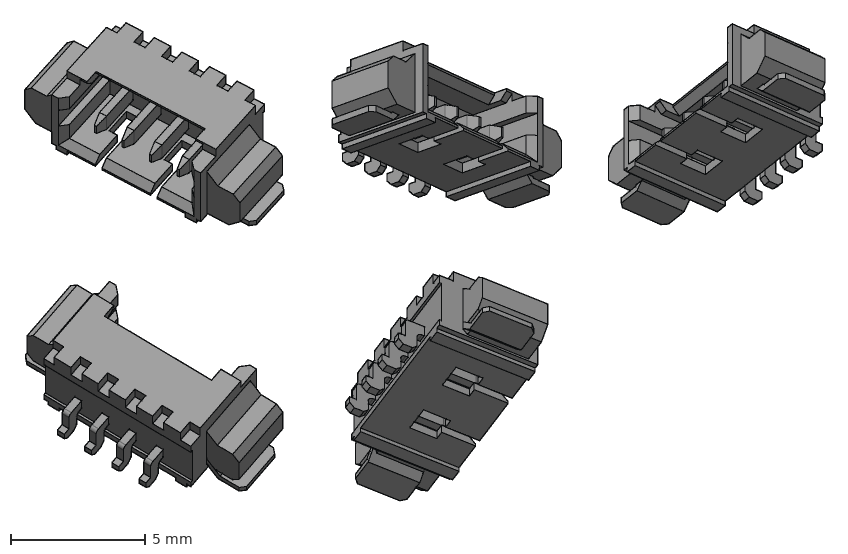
import cadquery as cq
import math


pin_count = 4
pitch = 1.25
pin_x = [(i - (pin_count - 1) / 2) * pitch for i in range(pin_count)]

housing_width = 6.75
housing_depth = 4.2
housing_bottom = 0.2
housing_top = 3.4
wall = 0.3
plate = 0.4
floor_top = housing_bottom + plate
roof_bottom = housing_top - plate
cavity_width = housing_width - 2 * wall
cavity_depth = 2.95
lead_in = 0.3

rail_width = 0.3
lower_rail_top = 1.4
upper_rail_bottom = 2.3
rail_gap = cavity_width - 2 * rail_width

roof_front = 1.0
roof_notch_front = 1.6
roof_notch_width = 4.92

floor_slot_x = [-pitch, pitch]
floor_slot_width = 0.3
floor_window_width = 1.05
floor_window_front = 1.45
floor_window_back = 2.6

back_recess = 0.1
back_recess_bottom = 0.5
back_recess_top = 2.5
notch_depth = 0.6
notch_bottom = 2.9
pin_notch_width = 0.5
corner_notch_width = 0.475

standoff_width = 0.5
standoff_x = 2.925

ear_reach = 1.5
ear_front = 0.4
ear_back = 3.2
ear_bottom = 0.3
ear_top = 2.2
ear_gusset = 0.5
ear_top_chamfer = 0.3
ear_bottom_chamfer = 0.5
ear_back_chamfer = 0.2

tab_tip_x = 5.075
tab_bend_x = 3.9
tab_thickness = 0.25
tab_front = 1.0
tab_corner = 0.2
tab_bend_angle = math.radians(45)

pin_width = 0.32
blade_bottom = 0.95
blade_top = 1.72
blade_back = (cavity_depth + housing_depth) / 2
blade_tip_y = 0.7
blade_shoulder_y = 1.2
tip_width = 0.1
tip_height = 0.4
tail_bottom = 0.9
tail_top = 1.4
leg_front = 4.4
leg_back = 4.9
foot_back = 5.2
foot_top = 0.5
foot_chamfer = 0.2
leg_outer_radius = 0.15
leg_inner_radius = 0.2

side_x = housing_width / 2


def block(x_range, y_range, z_range):
    """Box spanning the given (low, high) ranges."""
    low, high = zip(x_range, y_range, z_range)
    size = [b - a for a, b in zip(low, high)]
    return cq.Workplane("XY").box(*size, centered=False).translate(low)


def centered_block(x, width, y_range, z_range):
    """Box of the given width centered on x."""
    return block((x - width / 2, x + width / 2), y_range, z_range)


def yz_prism(points, x, width):
    """Prism with a (Y, Z) outline, centered on x."""
    return cq.Workplane("YZ").polyline(points).close().extrude(width).translate((x - width / 2, 0, 0))


def xz_prism(points, front, back):
    """Prism with an (X, Z) outline from y = front to y = back."""
    return cq.Workplane("XZ").polyline(points).close().extrude(front - back).translate((0, front, 0))


def both_sides(shape):
    """The +X shape followed by its mirror image at -X."""
    return [shape, shape.mirror("YZ")]


def make_shell():
    body = centered_block(0, housing_width, (0, housing_depth), (housing_bottom, housing_top))
    body = body.cut(centered_block(0, cavity_width, (0, cavity_depth), (floor_top, roof_bottom)))
    body = body.cut(centered_block(0, housing_width, (0, roof_front), (roof_bottom, housing_top)))
    return body.cut(centered_block(0, roof_notch_width, (0, roof_notch_front), (roof_bottom, housing_top)))


def make_rails():
    """Rails on both cavity walls, their inner front edges beveled."""
    wall_x = cavity_width / 2
    inner_x = rail_gap / 2
    outline = [(wall_x, 0), (inner_x, lead_in), (inner_x, cavity_depth), (wall_x, cavity_depth)]
    rails = []
    for low, high in [(housing_bottom, lower_rail_top), (upper_rail_bottom, roof_bottom)]:
        rail = cq.Workplane("XY").polyline(outline).close().extrude(high - low).translate((0, 0, low))
        rails += both_sides(rail)
    return rails


def make_floor_bevel():
    """Wedge removed from the front edge of the floor."""
    outline = [(0, floor_top), (lead_in, floor_top), (0, floor_top - lead_in)]
    return yz_prism(outline, 0, cavity_width)


def make_roof_bevel(front, width):
    """Wedge removed from the lower front edge of the roof."""
    outline = [(front, roof_bottom), (front + lead_in, roof_bottom), (front, roof_bottom + lead_in)]
    return yz_prism(outline, 0, width)


def make_floor_slot(x):
    z_range = (housing_bottom, floor_top)
    slot = centered_block(x, floor_slot_width, (0, floor_window_front), z_range)
    return slot.union(
        centered_block(x, floor_window_width, (floor_window_front, floor_window_back), z_range)
    )


def make_back_cuts():
    """Shallow recess over the back face, and notches along the top back edge."""
    recess_y = (housing_depth - back_recess, housing_depth)
    notch_y = (housing_depth - notch_depth, housing_depth)
    notch_z = (notch_bottom, housing_top)
    cuts = [centered_block(0, housing_width, recess_y, (back_recess_bottom, back_recess_top))]
    cuts += [centered_block(x, pin_notch_width, notch_y, notch_z) for x in pin_x]
    cuts += both_sides(block((side_x - corner_notch_width, side_x), notch_y, notch_z))
    return cuts


def make_ear():
    """Ear at +X, with a gusset up the housing wall."""
    tip_x = side_x + ear_reach
    outline = [
        (side_x, ear_bottom),
        (tip_x - ear_bottom_chamfer, ear_bottom),
        (tip_x, ear_bottom + ear_bottom_chamfer),
        (tip_x, ear_top - ear_top_chamfer),
        (tip_x - ear_top_chamfer, ear_top),
        (side_x + ear_gusset, ear_top),
        (side_x, ear_top + ear_gusset),
    ]
    ear = xz_prism(outline, ear_front, ear_back)
    back_bevel = [
        (ear_back, ear_bottom),
        (ear_back - ear_back_chamfer, ear_bottom),
        (ear_back, ear_bottom + ear_back_chamfer),
    ]
    return ear.cut(yz_prism(back_bevel, side_x + ear_reach / 2, ear_reach))


def make_tab():
    """Solder tab at +X: flat on the board, then bent up through the ear to the housing wall."""
    rise = (tab_bend_x - side_x) * math.tan(tab_bend_angle)
    upper_bend_x = tab_bend_x + tab_thickness * math.tan(tab_bend_angle / 2)
    strip_height = tab_thickness / math.cos(tab_bend_angle)
    outline = [
        (tab_tip_x, 0),
        (tab_bend_x, 0),
        (side_x, rise),
        (side_x, rise + strip_height),
        (upper_bend_x, tab_thickness),
        (tab_tip_x, tab_thickness),
    ]
    tab = xz_prism(outline, tab_front, ear_back)
    return tab.edges("|Z and >X").chamfer(tab_corner)


def make_pin(x):
    """Contact with a tapered mating blade and a tail bent down to a foot on the board."""
    tail = (
        cq.Workplane("YZ")
        .moveTo(blade_back, tail_top)
        .lineTo(leg_back - leg_outer_radius, tail_top)
        .radiusArc((leg_back, tail_top - leg_outer_radius), leg_outer_radius)
        .lineTo(leg_back, foot_top)
        .lineTo(foot_back, foot_top)
        .lineTo(foot_back, foot_chamfer)
        .lineTo(foot_back - foot_chamfer, 0)
        .lineTo(leg_front + foot_chamfer, 0)
        .lineTo(leg_front, foot_chamfer)
        .lineTo(leg_front, tail_bottom - leg_inner_radius)
        .radiusArc((leg_front - leg_inner_radius, tail_bottom), -leg_inner_radius)
        .lineTo(blade_back, tail_bottom)
        .close()
        .extrude(pin_width)
        .translate((-pin_width / 2, 0, 0))
    )
    blade = centered_block(0, pin_width, (blade_shoulder_y, blade_back), (blade_bottom, blade_top))
    tip = (
        cq.Workplane("XZ", origin=(0, blade_shoulder_y, (blade_bottom + blade_top) / 2))
        .rect(pin_width, blade_top - blade_bottom)
        .workplane(offset=blade_shoulder_y - blade_tip_y)
        .rect(tip_width, tip_height)
        .loft(ruled=True)
    )
    return blade.union(tip).union(tail).translate((x, 0, 0))


def make_housing(inserts):
    """Housing with a matching hole for every inserted body."""
    body = make_shell()
    body = body.cut(make_floor_bevel())
    for rail in make_rails():
        body = body.union(rail)
    body = body.cut(make_roof_bevel(roof_front, rail_gap))
    body = body.cut(make_roof_bevel(roof_notch_front, roof_notch_width))
    for x in floor_slot_x:
        body = body.cut(make_floor_slot(x))
    for cut in make_back_cuts():
        body = body.cut(cut)
    standoff = centered_block(standoff_x, standoff_width, (0, housing_depth), (0, housing_bottom))
    for addition in both_sides(standoff) + both_sides(make_ear()):
        body = body.union(addition)
    for insert in inserts:
        body = body.cut(insert)
    return body


pins = [make_pin(x) for x in pin_x]
tabs = both_sides(make_tab())
housing = make_housing(pins + tabs)

result = cq.Compound.makeCompound([body.solids().val() for body in [housing, *pins, *tabs]])